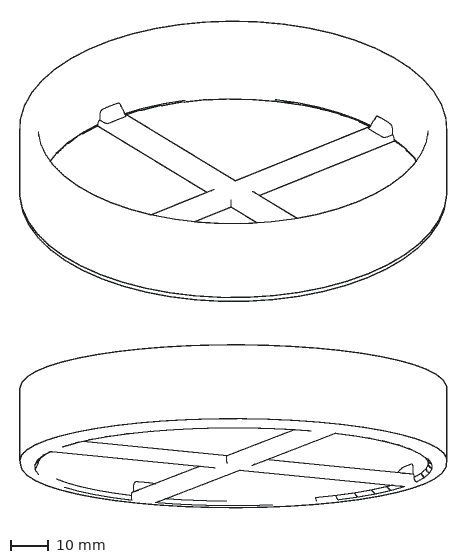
import cadquery as cq

outer_diameter = 114.0
inner_diameter = 104.0
ring_height = 22.0
ring_fillet = 1.0
foot_height = 1.7
foot_inset = 0.1

bar_width = 8.4
bar_thickness = 2.0
bar_fillet = 0.7

gusset_width = bar_width - 2 * bar_fillet
gusset_reach = 3.0
gusset_rise = 3.0
gusset_fillet = 0.8

inner_radius = inner_diameter / 2
wall_overlap = 1.1


def make_ring():
    """Round band with all four rims rounded and a slightly narrower foot."""
    foot = cq.Workplane("XY").circle(outer_diameter / 2 - foot_inset).extrude(foot_height)
    wall = (
        cq.Workplane("XY", origin=(0, 0, foot_height))
        .circle(outer_diameter / 2)
        .extrude(ring_height - foot_height)
    )
    bore = cq.Workplane("XY").circle(inner_radius).extrude(ring_height)
    band = foot.union(wall).cut(bore)
    return band.faces("<Z or >Z").edges().fillet(ring_fillet)


def make_cross():
    """Two crossed bars with rounded upper and lower edges, trimmed to a disc ending inside the wall."""
    bar_length = outer_diameter
    cross = cq.Workplane("XY").rect(bar_length, bar_width).extrude(bar_thickness)
    cross = cross.union(cq.Workplane("XY").rect(bar_width, bar_length).extrude(bar_thickness))
    cross = cross.faces("<Z or >Z").edges().fillet(bar_fillet)
    disc = cq.Workplane("XY").circle(inner_radius + wall_overlap).extrude(bar_thickness)
    return cross.intersect(disc)


def make_gusset():
    """Triangular wedge on the bar at the +X wall, with its sloped side edges rounded."""
    toe = inner_radius - gusset_reach
    back = inner_radius + wall_overlap
    top = bar_thickness + gusset_rise
    wedge = (
        cq.Workplane("XZ")
        .moveTo(toe, bar_thickness)
        .lineTo(inner_radius, top)
        .lineTo(back, top)
        .lineTo(back, ring_fillet)
        .lineTo(toe, ring_fillet)
        .close()
        .extrude(gusset_width / 2, both=True)
    )
    slope_direction = cq.Vector(gusset_reach, 0, gusset_rise)
    slope_edges = cq.selectors.ParallelDirSelector(slope_direction)
    return wedge.edges(slope_edges).fillet(gusset_fillet)


result = make_ring().union(make_cross())
gusset = make_gusset()
for angle in (0, 90, 180, 270):
    result = result.union(gusset.rotate((0, 0, 0), (0, 0, 1), angle))